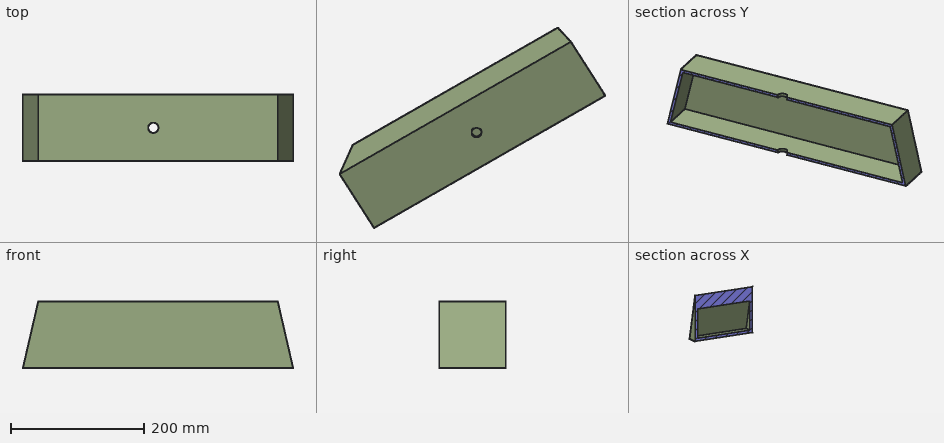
import cadquery as cq
import math

BASE_LENGTH = 405.63
WIDTH = 100.0
HEIGHT = 100.0
WALL = 5.0
END_ANGLE = 13.0
HOLE_DIAMETER = 15.0
HOLE_X = -7.05

END_SLOPE = math.tan(math.radians(END_ANGLE))


def tapered_prism(base_length, width, height):
    """Prism standing on Z = 0, trapezoidal in XZ and centred on X and Y."""
    half_base = base_length / 2
    half_top = half_base - END_SLOPE * height
    outline = [
        (-half_base, 0),
        (half_base, 0),
        (half_top, height),
        (-half_top, height),
    ]
    return cq.Workplane("XZ").polyline(outline).close().extrude(width / 2, both=True)


def cavity():
    """Closed hollow that leaves WALL, measured square to each face, on all six sides."""
    end_wall_along_x = WALL / math.cos(math.radians(END_ANGLE))
    outer_length_at_floor = BASE_LENGTH - 2 * END_SLOPE * WALL
    floor_length = outer_length_at_floor - 2 * end_wall_along_x
    hollow = tapered_prism(floor_length, WIDTH - 2 * WALL, HEIGHT - 2 * WALL)
    return hollow.translate((0, 0, WALL))


def vertical_hole():
    """Round hole through the top and bottom walls, on the lengthwise centre plane."""
    return cq.Workplane("XY").center(HOLE_X, 0).circle(HOLE_DIAMETER / 2).extrude(HEIGHT)


block = tapered_prism(BASE_LENGTH, WIDTH, HEIGHT)
result = block.cut(cavity()).cut(vertical_hole())